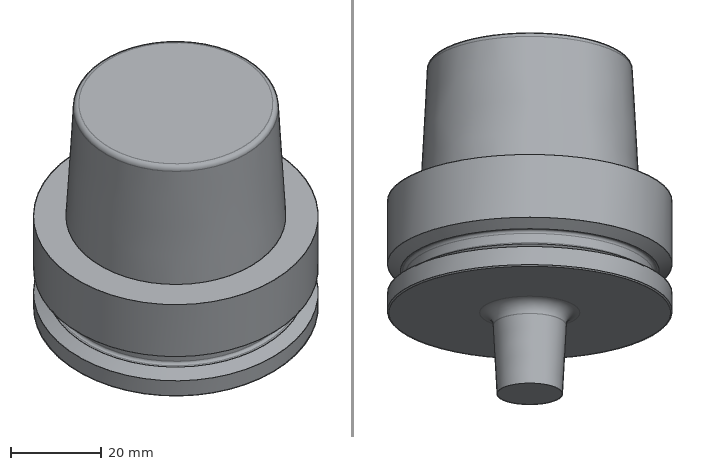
import cadquery as cq

total_height = 77.0
shank_straight_top = 16.0
flange_bottom = 19.0
flange_top = 45.1
groove_lower_edge = 23.6
groove_lower_wall = 25.2
groove_upper_wall = 28.7
groove_upper_edge = 30.4

flange_radius = 31.5
groove_wall_radius = 28.65
groove_floor_radius = 27.5
shank_tip_radius = 7.2
shank_top_radius = 8.1
taper_base_radius = 24.3
taper_top_radius = 22.6

shank_fillet = flange_bottom - shank_straight_top
groove_fillet = 0.7
top_fillet = 1.2
rim_chamfer = 0.3


def make_shank():
    """Tapered lower shank with a concave flare into the flange."""
    diagonal = shank_fillet * (1 - 0.5**0.5)
    return (
        cq.Workplane("XZ")
        .lineTo(shank_tip_radius, 0)
        .lineTo(shank_top_radius, shank_straight_top)
        .threePointArc(
            (shank_top_radius + diagonal, flange_bottom - diagonal),
            (shank_top_radius + shank_fillet, flange_bottom),
        )
        .lineTo(0, flange_bottom)
        .close()
        .revolve(360, (0, 0, 0), (0, 1, 0))
    )


def make_flange():
    """Round flange with a groove whose sloped sides end in a flat, filleted floor channel."""
    arc_start_radius = groove_floor_radius + groove_fillet
    diagonal = groove_fillet * (1 - 0.5**0.5)
    return (
        cq.Workplane("XZ")
        .moveTo(0, flange_bottom)
        .lineTo(flange_radius - rim_chamfer, flange_bottom)
        .lineTo(flange_radius, flange_bottom + rim_chamfer)
        .lineTo(flange_radius, groove_lower_edge)
        .lineTo(groove_wall_radius, groove_lower_wall)
        .lineTo(arc_start_radius, groove_lower_wall)
        .threePointArc(
            (groove_floor_radius + diagonal, groove_lower_wall + diagonal),
            (groove_floor_radius, groove_lower_wall + groove_fillet),
        )
        .lineTo(groove_floor_radius, groove_upper_wall - groove_fillet)
        .threePointArc(
            (groove_floor_radius + diagonal, groove_upper_wall - diagonal),
            (arc_start_radius, groove_upper_wall),
        )
        .lineTo(groove_wall_radius, groove_upper_wall)
        .lineTo(flange_radius, groove_upper_edge)
        .lineTo(flange_radius, flange_top)
        .lineTo(0, flange_top)
        .close()
        .revolve(360, (0, 0, 0), (0, 1, 0))
    )


def make_taper():
    """Upper cone with a rounded top edge."""
    profile = [
        (0, flange_top),
        (taper_base_radius, flange_top),
        (taper_top_radius, total_height),
        (0, total_height),
    ]
    cone = cq.Workplane("XZ").polyline(profile).close().revolve(360, (0, 0, 0), (0, 1, 0))
    return cone.faces(">Z").edges().fillet(top_fillet)


result = make_flange().union(make_shank()).union(make_taper())